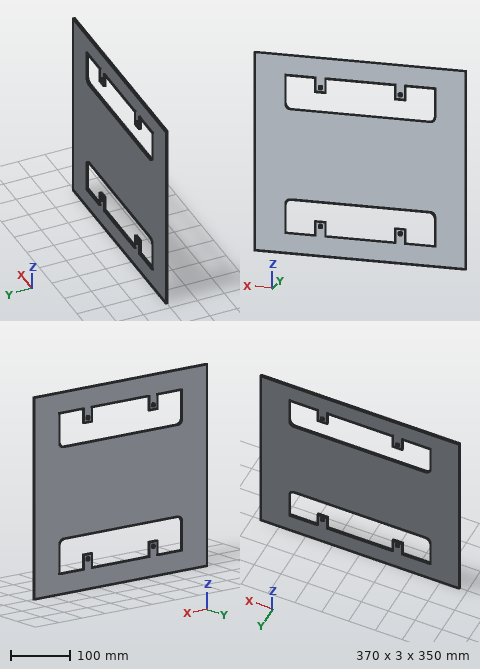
import cadquery as cq

plate_width = 370.0
plate_height = 350.0
plate_thickness = 3.0

window_width = 262.5
window_height = 59.75
window_border = 35.5
window_corner_radius = 10.0

tab_width = 17.5
tab_length = 25.0
tab_spacing = 140.0
hole_diameter = 5.5
hole_to_tab_end = 8.0

window_outer_z = plate_height / 2 - window_border
window_inner_z = window_outer_z - window_height
tab_end_z = window_outer_z - tab_length
hole_z = tab_end_z + hole_to_tab_end
tab_centres_x = (-tab_spacing / 2, tab_spacing / 2)


def make_plate():
    """Flat rectangular plate, standing upright in the XZ plane."""
    return cq.Workplane("XY").box(plate_width, plate_thickness, plate_height)


def make_tab(centre_x):
    """One rectangular tab of the upper window."""
    return (
        cq.Workplane("XY")
        .box(tab_width, plate_thickness, tab_length)
        .translate((centre_x, 0, window_outer_z - tab_length / 2))
    )


def make_hole(centre_x):
    """Cylinder for the through hole in one tab of the upper window."""
    return (
        cq.Workplane("XZ")
        .center(centre_x, hole_z)
        .circle(hole_diameter / 2)
        .extrude(plate_thickness / 2, both=True)
    )


def make_upper_cutout():
    """Material removed for the upper window: the opening around the tabs, plus the tab holes."""
    cutout = (
        cq.Workplane("XY")
        .box(window_width, plate_thickness, window_height)
        .edges("|Y and <Z")
        .fillet(window_corner_radius)
        .translate((0, 0, (window_outer_z + window_inner_z) / 2))
    )
    for centre_x in tab_centres_x:
        cutout = cutout.cut(make_tab(centre_x)).union(make_hole(centre_x))
    return cutout


upper_cutout = make_upper_cutout()
lower_cutout = upper_cutout.mirror("XY")
result = make_plate().cut(upper_cutout).cut(lower_cutout)